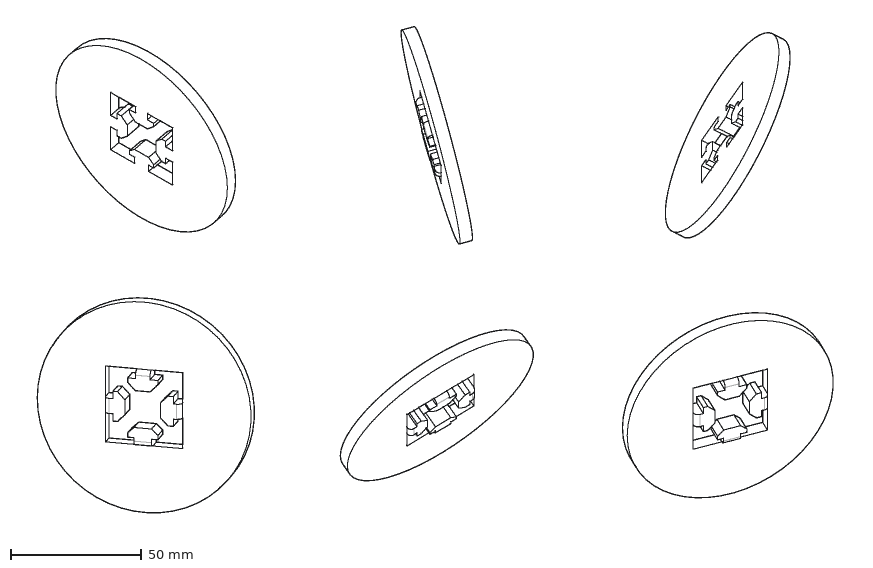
import cadquery as cq

plate_diameter = 85.0
plate_thickness = 5.0
window_side = 30.6

total_depth = 7.0
tab_projection = total_depth - plate_thickness
root_round = tab_projection
head_half_width = 6.0
tab_reach = 8.25
overlap = 0.85


def make_tab(neck_half, neck_length, side_length, tip_half, reach, angle):
    """Build a tab on the lower window edge, then turn it about Y."""
    edge = -window_side / 2
    shoulder = edge + neck_length
    side_end = shoulder + side_length
    tip = edge + reach

    head = (
        cq.Workplane("XZ")
        .polyline([
            (-head_half_width, shoulder),
            (head_half_width, shoulder),
            (head_half_width, side_end),
            (tip_half, tip),
            (-tip_half, tip),
            (-head_half_width, side_end),
        ])
        .close()
        .extrude(-total_depth)
    )
    neck_width = 2 * neck_half
    raised_neck = (
        cq.Workplane("XY")
        .box(neck_width, total_depth, neck_length, centered=(True, False, False))
        .translate((0, 0, edge))
        .edges(">Y and <Z")
        .fillet(root_round)
    )
    buried_neck = (
        cq.Workplane("XY")
        .box(neck_width, plate_thickness, neck_length + overlap, centered=(True, False, False))
        .translate((0, 0, edge - overlap))
    )
    tab = head.union(raised_neck).union(buried_neck)
    return tab.rotate((0, 0, 0), (0, 1, 0), angle)


plate = cq.Workplane("XZ").circle(plate_diameter / 2).extrude(-plate_thickness)
window = cq.Workplane("XZ").rect(window_side, window_side).extrude(-plate_thickness)
result = plate.cut(window)

bottom_tab = make_tab(
    neck_half=3.5, neck_length=3.3, side_length=1.8, tip_half=3.5, reach=7.5, angle=0
)
left_tab = make_tab(
    neck_half=3.1, neck_length=3.15, side_length=2.1, tip_half=3.1, reach=tab_reach, angle=90
)
top_tab = make_tab(
    neck_half=2.9, neck_length=3.3, side_length=1.8, tip_half=3.0, reach=tab_reach, angle=180
)
right_tab = make_tab(
    neck_half=3.1, neck_length=3.4, side_length=1.9, tip_half=3.1, reach=tab_reach, angle=270
)
for tab in (bottom_tab, left_tab, top_tab, right_tab):
    result = result.union(tab)